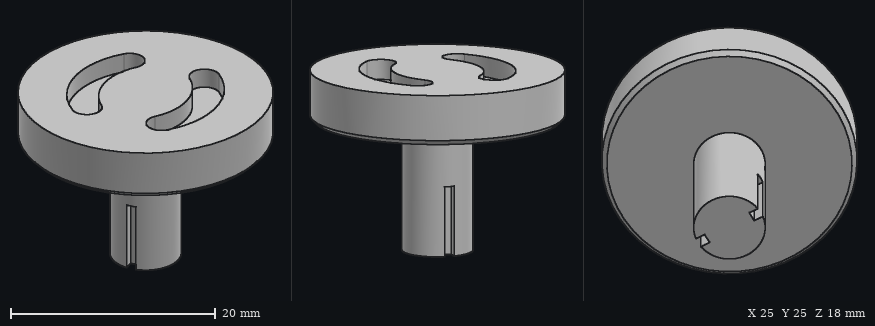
import cadquery as cq
import math

HEAD_DIAMETER = 25.0
HEAD_THICKNESS = 5.0
HEAD_CHAMFER = 0.5

STEM_DIAMETER = 7.0
STEM_LENGTH = 13.0

KEYWAY_WIDTH = 1.0
KEYWAY_LENGTH = 7.0
KEYWAY_DEPTH = 1.0

POCKET_DEPTH = 2.0
POCKET_END_RADIUS = 1.5
POCKET_END_X = 4.0
POCKET_END_Y = 5.2
POCKET_OUTER_RADIUS = 9.0
POCKET_INNER_RADIUS = 6.5


def make_head():
    head = cq.Workplane("XY").circle(HEAD_DIAMETER / 2).extrude(HEAD_THICKNESS)
    return head.faces("<Z").edges().chamfer(HEAD_CHAMFER)


def make_stem():
    return cq.Workplane("XY").circle(STEM_DIAMETER / 2).extrude(-STEM_LENGTH)


def make_keyway(side):
    """Cutter for one keyway; side is -1 for the -Y side, +1 for the +Y side."""
    stem_radius = STEM_DIAMETER / 2
    floor_y = stem_radius - KEYWAY_DEPTH
    return (
        cq.Workplane("XY", origin=(0, 0, -STEM_LENGTH))
        .center(0, side * (floor_y + stem_radius) / 2)
        .rect(KEYWAY_WIDTH, KEYWAY_DEPTH)
        .extrude(KEYWAY_LENGTH)
    )


def make_pocket(side):
    """Cutter for one pocket; side is -1 for the -X pocket, +1 for the +X pocket.

    The outer and inner arcs are both tangent to the round ends, with centres on the X axis.
    """
    outer_reach = POCKET_OUTER_RADIUS - POCKET_END_RADIUS
    inner_reach = POCKET_INNER_RADIUS + POCKET_END_RADIUS
    outer_center_x = POCKET_END_X - math.sqrt(outer_reach**2 - POCKET_END_Y**2)
    inner_center_x = POCKET_END_X - math.sqrt(inner_reach**2 - POCKET_END_Y**2)
    outer_angle = math.asin(POCKET_END_Y / outer_reach)
    inner_angle = math.asin(POCKET_END_Y / inner_reach)

    outer_x = outer_center_x + POCKET_OUTER_RADIUS * math.cos(outer_angle)
    outer_y = POCKET_OUTER_RADIUS * math.sin(outer_angle)
    inner_x = inner_center_x + POCKET_INNER_RADIUS * math.cos(inner_angle)
    inner_y = POCKET_INNER_RADIUS * math.sin(inner_angle)

    outer_mid_x = outer_center_x + POCKET_OUTER_RADIUS
    inner_mid_x = inner_center_x + POCKET_INNER_RADIUS
    tip_y = POCKET_END_Y + POCKET_END_RADIUS

    return (
        cq.Workplane("XY", origin=(0, 0, HEAD_THICKNESS))
        .moveTo(side * outer_x, -outer_y)
        .threePointArc((side * outer_mid_x, 0), (side * outer_x, outer_y))
        .threePointArc((side * POCKET_END_X, tip_y), (side * inner_x, inner_y))
        .threePointArc((side * inner_mid_x, 0), (side * inner_x, -inner_y))
        .threePointArc((side * POCKET_END_X, -tip_y), (side * outer_x, -outer_y))
        .close()
        .extrude(-POCKET_DEPTH)
    )


result = make_head().union(make_stem())
for side in (-1, 1):
    result = result.cut(make_keyway(side))
    result = result.cut(make_pocket(side))